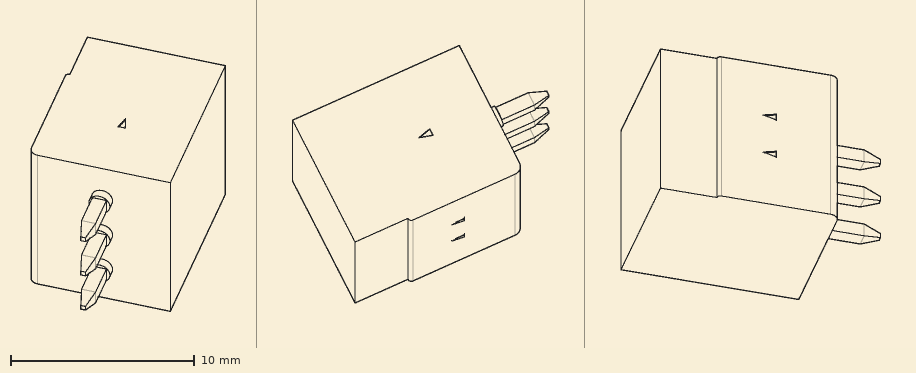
import cadquery as cq

total_length = 13.6
body_width = 8.1
body_height = 9.4

pin_count = 3
pin_pitch = 2.5
pin_to_left_side = 4.2
pin_width = 0.8
pin_tip_width = 0.27
pin_taper_length = 1.0
collar_diameter = 1.2
collar_length = 0.5
pin_length = 3.5

body_length = total_length - pin_length
left_x = -pin_to_left_side
right_x = left_x + body_width
step_depth = 0.2
step_y = 6.9
step_radius = 0.19
front_corner_radius = 0.5

marker_base_y = 3.56
marker_length = 0.76
marker_width = 0.41
marker_depth = 0.1


def centred_positions(count, pitch):
    """Evenly spaced positions, centred on zero."""
    return [(index - (count - 1) / 2) * pitch for index in range(count)]


def make_housing():
    """Block with a shallow step along its left side and rounded left edges."""
    block = cq.Workplane("XY").box(
        body_width, body_length, body_height, centered=(False, False, True)
    ).translate((left_x, 0, 0))
    front_edge = cq.selectors.NearestToPointSelector((left_x, 0, 0))
    block = block.edges(front_edge).fillet(front_corner_radius)

    step_cut = cq.Workplane("XY").box(
        step_depth, body_length - step_y, body_height, centered=(False, False, True)
    ).translate((left_x, step_y, 0))
    step_edge = cq.selectors.NearestToPointSelector((left_x, step_y, 0))
    return block.cut(step_cut).edges(step_edge).fillet(step_radius)


def make_pin(z):
    """Round collar and square pin with a tapered tip, pointing toward -Y."""
    seat = cq.Workplane("XZ", origin=(0, 0, z))
    collar = seat.circle(collar_diameter / 2).extrude(collar_length)
    shank = seat.rect(pin_width, pin_width).extrude(pin_length - pin_taper_length)
    tip = (
        seat.workplane(offset=pin_length - pin_taper_length)
        .rect(pin_width, pin_width)
        .workplane(offset=pin_taper_length)
        .rect(pin_tip_width, pin_tip_width)
        .loft()
    )
    return collar.union(shank).union(tip)


def make_marker(face_plane):
    """Triangular cutter with its apex toward +Y, sunk below the given face plane."""
    half_width = marker_width / 2
    return (
        cq.Workplane(face_plane)
        .polyline([(-half_width, 0), (half_width, 0), (0, marker_length)])
        .close()
        .extrude(-marker_depth)
    )


result = make_housing()

for pin_z in centred_positions(pin_count, pin_pitch):
    result = result.union(make_pin(pin_z))

top_face = cq.Plane(
    origin=(0, marker_base_y, body_height / 2), xDir=(1, 0, 0), normal=(0, 0, 1)
)
result = result.cut(make_marker(top_face))

for marker_z in centred_positions(pin_count - 1, pin_pitch):
    left_face = cq.Plane(
        origin=(left_x, marker_base_y, marker_z), xDir=(0, 0, 1), normal=(-1, 0, 0)
    )
    result = result.cut(make_marker(left_face))